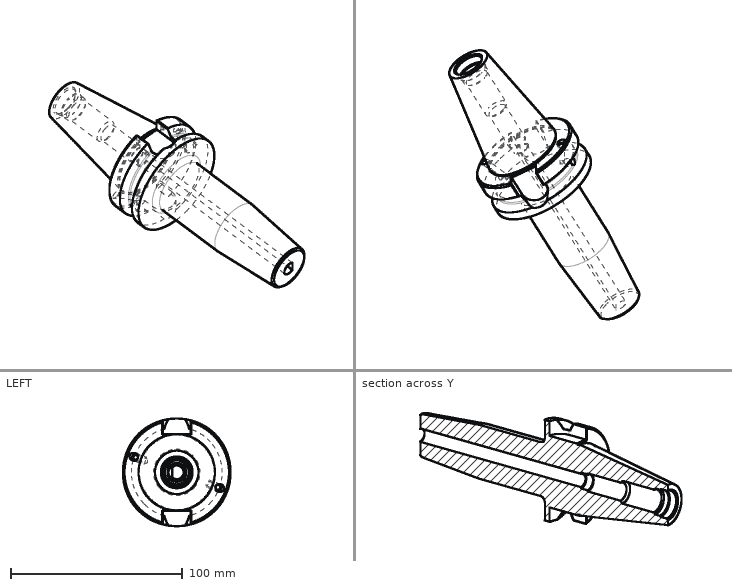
import cadquery as cq
import math


GAUGE_RADIUS = 44.45 / 2
SHANK_LENGTH = 65.4
TAPER_RATIO = 7 / 24
TAPER_END = 0.75
TAPER_END_RADIUS = GAUGE_RADIUS + TAPER_END * TAPER_RATIO / 2
RELIEF_RADIUS = 21.8
RELIEF_START = 1.25
SHANK_END_RADIUS = GAUGE_RADIUS - SHANK_LENGTH * TAPER_RATIO / 2

FLANGE_RADIUS = 63 / 2
FLANGE_BACK = 2.0
FLANGE_FRONT = 27.0
FLANGE_CHAMFER = 1.0
GROOVE_CENTER = 16.6
GROOVE_FLOOR_RADIUS = 26.5
GROOVE_TOP_HALF_WIDTH = 5.0
GROOVE_FLOOR_FILLET = 1.0
GROOVE_HALF_ANGLE = math.radians(30)
GROOVE_DEPTH = FLANGE_RADIUS - GROOVE_FLOOR_RADIUS
GROOVE_FLOOR_HALF_WIDTH = GROOVE_TOP_HALF_WIDTH - GROOVE_DEPTH * math.tan(GROOVE_HALF_ANGLE)

SLOT_WIDTH = 16.1
SLOT_FLOOR_HEIGHT = 22.5
SLOT_END = 23.2
SLOT_CHAMFER = 0.5

NOSE_END = 120.0
NECK_RADIUS = 34 / 2
NECK_FILLET = 3.0
TIP_RADIUS = 27 / 2
TIP_CHAMFER = 1.0
NOSE_TAPER_ANGLE = math.radians(4.5)
NOSE_TAPER_START = NOSE_END - (NECK_RADIUS - TIP_RADIUS) / math.tan(NOSE_TAPER_ANGLE)
TIP_CHAMFER_RADIUS = TIP_RADIUS + TIP_CHAMFER * math.tan(NOSE_TAPER_ANGLE)

MOUTH_RADIUS = 9.3
PILOT_RADIUS = 17 / 2
MOUTH_DEPTH = MOUTH_RADIUS - PILOT_RADIUS
PILOT_DEPTH = 5.5
COUNTERBORE_RADIUS = 8.0
COUNTERBORE_DEPTH = 9.5
THREAD_RADIUS = 7.0
THREAD_DEPTH = 34.0
BORE_RADIUS = 5.5
BORE_DEPTH = 60.0
SEAT_RADIUS = 4.8
SEAT_DEPTH = 65.0
CONE_HALF_ANGLE = math.radians(45)
PASSAGE_RADIUS = 4.0
PASSAGE_FLAT = 2.5

COOLANT_ANGLE = 20.0
COOLANT_DIAMETER = 4.5
DUCT_DIAMETER = 3.0
INLET_DEPTH = 2.5
COOLANT_INLET_RADIUS = 26.7
CROSS_HOLE_BOTTOM_RADIUS = 19.5


def make_body():
    """Shank, flange, neck and nose turned in one outline."""
    fillet_offset = NECK_FILLET * (1 - math.sqrt(0.5))
    outline = (
        cq.Workplane("XZ")
        .moveTo(-SHANK_LENGTH, 0)
        .lineTo(-SHANK_LENGTH, SHANK_END_RADIUS)
        .lineTo(TAPER_END, TAPER_END_RADIUS)
        .lineTo(RELIEF_START, RELIEF_RADIUS)
        .lineTo(FLANGE_BACK, RELIEF_RADIUS)
        .lineTo(FLANGE_BACK, FLANGE_RADIUS - FLANGE_CHAMFER)
        .lineTo(FLANGE_BACK + FLANGE_CHAMFER, FLANGE_RADIUS)
        .lineTo(GROOVE_CENTER - GROOVE_TOP_HALF_WIDTH, FLANGE_RADIUS)
        .lineTo(GROOVE_CENTER - GROOVE_FLOOR_HALF_WIDTH, GROOVE_FLOOR_RADIUS)
        .lineTo(GROOVE_CENTER + GROOVE_FLOOR_HALF_WIDTH, GROOVE_FLOOR_RADIUS)
        .lineTo(GROOVE_CENTER + GROOVE_TOP_HALF_WIDTH, FLANGE_RADIUS)
        .lineTo(FLANGE_FRONT, FLANGE_RADIUS)
        .lineTo(FLANGE_FRONT, NECK_RADIUS + NECK_FILLET)
        .threePointArc(
            (FLANGE_FRONT + fillet_offset, NECK_RADIUS + fillet_offset),
            (FLANGE_FRONT + NECK_FILLET, NECK_RADIUS),
        )
        .lineTo(NOSE_TAPER_START, NECK_RADIUS)
        .lineTo(NOSE_END - TIP_CHAMFER, TIP_CHAMFER_RADIUS)
        .lineTo(NOSE_END, TIP_RADIUS - TIP_CHAMFER)
        .lineTo(NOSE_END, 0)
        .close()
    )
    return outline.revolve(360, (0, 0, 0), (1, 0, 0))


def round_groove_floor(body):
    """Fillets along both corners of the V-groove floor."""
    floor = cq.selectors.BoxSelector(
        (GROOVE_CENTER - GROOVE_TOP_HALF_WIDTH / 2, -FLANGE_RADIUS, -FLANGE_RADIUS),
        (GROOVE_CENTER + GROOVE_TOP_HALF_WIDTH / 2, FLANGE_RADIUS, FLANGE_RADIUS),
    )
    return body.edges("%CIRCLE").edges(floor).fillet(GROOVE_FLOOR_FILLET)


def make_drive_slot():
    """Cutter for the slot on +Z: open towards the shank, with a round end."""
    end_radius = SLOT_WIDTH / 2
    straight_end = SLOT_END - end_radius
    return (
        cq.Workplane("XY", origin=(0, 0, SLOT_FLOOR_HEIGHT))
        .moveTo(0, -end_radius)
        .lineTo(straight_end, -end_radius)
        .threePointArc((SLOT_END, 0), (straight_end, end_radius))
        .lineTo(0, end_radius)
        .close()
        .extrude(FLANGE_RADIUS - SLOT_FLOOR_HEIGHT)
    )


def make_slot_chamfers():
    """Cutter that breaks the edges of the +Z slot: on the flange face, the floor and the rim."""
    half_width = SLOT_WIDTH / 2
    wide = half_width + SLOT_CHAMFER
    face_inner = FLANGE_BACK + SLOT_CHAMFER
    rim_height = math.sqrt(FLANGE_RADIUS**2 - half_width**2)
    wall_edges = (
        cq.Workplane("XY", origin=(0, 0, SLOT_FLOOR_HEIGHT))
        .moveTo(FLANGE_BACK, -wide)
        .lineTo(face_inner, -half_width)
        .lineTo(face_inner, half_width)
        .lineTo(FLANGE_BACK, wide)
        .close()
        .extrude(FLANGE_RADIUS - SLOT_FLOOR_HEIGHT)
    )
    floor_edge = (
        cq.Workplane("XZ", origin=(0, half_width, 0))
        .moveTo(FLANGE_BACK, SLOT_FLOOR_HEIGHT)
        .lineTo(face_inner, SLOT_FLOOR_HEIGHT)
        .lineTo(FLANGE_BACK, SLOT_FLOOR_HEIGHT - SLOT_CHAMFER)
        .close()
        .extrude(SLOT_WIDTH)
    )
    rim_edges = (
        cq.Workplane("YZ", origin=(FLANGE_BACK, 0, 0))
        .moveTo(-half_width, rim_height - SLOT_CHAMFER)
        .lineTo(half_width, rim_height - SLOT_CHAMFER)
        .lineTo(half_width + 2 * SLOT_CHAMFER, rim_height + SLOT_CHAMFER)
        .lineTo(-half_width - 2 * SLOT_CHAMFER, rim_height + SLOT_CHAMFER)
        .close()
        .extrude(GROOVE_CENTER - FLANGE_BACK)
    )
    return wall_edges.union(floor_edge).union(rim_edges)


def make_bore():
    """Cutter for the stepped bore that opens at the shank end."""
    cone_length = (THREAD_RADIUS - BORE_RADIUS) / math.tan(CONE_HALF_ANGLE)
    return (
        cq.Workplane("XZ", origin=(-SHANK_LENGTH, 0, 0))
        .moveTo(0, 0)
        .lineTo(0, MOUTH_RADIUS)
        .lineTo(MOUTH_DEPTH, PILOT_RADIUS)
        .lineTo(PILOT_DEPTH, PILOT_RADIUS)
        .lineTo(PILOT_DEPTH + PILOT_RADIUS - COUNTERBORE_RADIUS, COUNTERBORE_RADIUS)
        .lineTo(COUNTERBORE_DEPTH, COUNTERBORE_RADIUS)
        .lineTo(COUNTERBORE_DEPTH + COUNTERBORE_RADIUS - THREAD_RADIUS, THREAD_RADIUS)
        .lineTo(THREAD_DEPTH, THREAD_RADIUS)
        .lineTo(THREAD_DEPTH + cone_length, BORE_RADIUS)
        .lineTo(BORE_DEPTH, BORE_RADIUS)
        .lineTo(BORE_DEPTH, SEAT_RADIUS)
        .lineTo(SEAT_DEPTH, SEAT_RADIUS)
        .lineTo(SEAT_DEPTH, 0)
        .close()
        .revolve(360, (0, 0, 0), (1, 0, 0))
    )


def make_passage():
    """Cutter for the through passage: round, with a flat on the +Y side."""
    chord_half = math.sqrt(PASSAGE_RADIUS**2 - PASSAGE_FLAT**2)
    return (
        cq.Workplane("YZ", origin=(-SHANK_LENGTH, 0, 0))
        .moveTo(PASSAGE_FLAT, -chord_half)
        .lineTo(PASSAGE_FLAT, chord_half)
        .threePointArc((-PASSAGE_RADIUS, 0), (PASSAGE_FLAT, -chord_half))
        .close()
        .extrude(SHANK_LENGTH + NOSE_END)
    )


def make_hole(start, end, diameter):
    """Round hole cutter from one point to another."""
    along = end - start
    return cq.Workplane(cq.Solid.makeCylinder(diameter / 2, along.Length, start, along))


def make_coolant_holes():
    """Sloping stepped hole from the flange face and the hole from the groove floor that meets it."""
    inlet = cq.Vector(FLANGE_BACK, COOLANT_INLET_RADIUS, 0)
    meeting = cq.Vector(GROOVE_CENTER, CROSS_HOLE_BOTTOM_RADIUS, 0)
    slope = (meeting - inlet).normalized()
    outside = inlet - slope * COOLANT_DIAMETER
    groove_side = cq.Vector(GROOVE_CENTER, FLANGE_RADIUS, 0)
    holes = make_hole(outside, inlet + slope * INLET_DEPTH, COOLANT_DIAMETER)
    holes = holes.union(make_hole(inlet, meeting, DUCT_DIAMETER))
    holes = holes.union(make_hole(groove_side, meeting, COOLANT_DIAMETER))
    return holes.rotate((0, 0, 0), (1, 0, 0), COOLANT_ANGLE)


def half_turn(shape):
    """The shape turned to the opposite side of the axis."""
    return shape.rotate((0, 0, 0), (1, 0, 0), 180)


result = round_groove_floor(make_body()).cut(make_bore()).cut(make_passage())
for cutter in (make_drive_slot(), make_slot_chamfers(), make_coolant_holes()):
    result = result.cut(cutter).cut(half_turn(cutter))